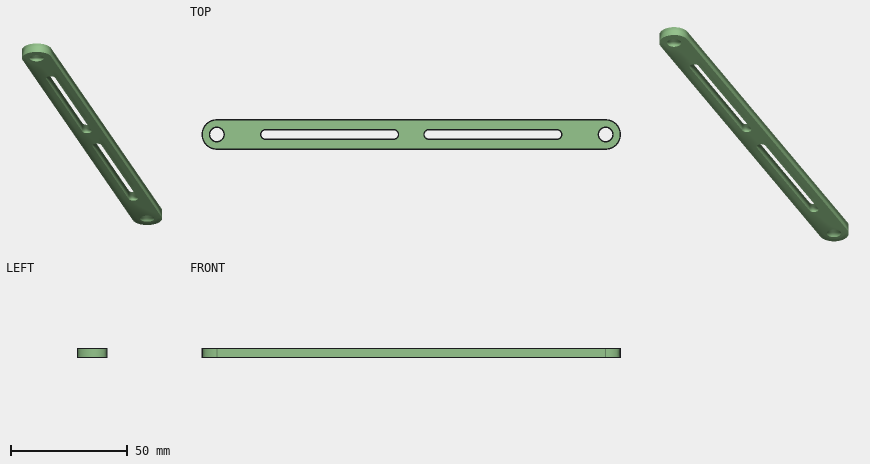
import cadquery as cq

length = 179.44
width = 12.7
thickness = 4.0

hole_center_x = (length - width) / 2
hole_diameter = 6.15

slot_length = 59.0
slot_width = 4.0
slot_gap = 11.0
slot_center_x = (slot_gap + slot_length) / 2


def make_bar():
    """Flat bar with fully rounded ends, centred on the origin."""
    return cq.Workplane("XY").slot2D(length, width).extrude(thickness)


def cut_pivot_holes(bar):
    """Through hole at the centre of each rounded end."""
    return (
        bar.faces(">Z")
        .workplane(origin=(0, 0, thickness))
        .pushPoints([(-hole_center_x, 0), (hole_center_x, 0)])
        .hole(hole_diameter)
    )


def cut_slots(bar):
    """Two through slots along the centreline."""
    return (
        bar.faces(">Z")
        .workplane(origin=(0, 0, thickness))
        .pushPoints([(-slot_center_x, 0), (slot_center_x, 0)])
        .slot2D(slot_length, slot_width)
        .cutThruAll()
    )


result = cut_slots(cut_pivot_holes(make_bar()))